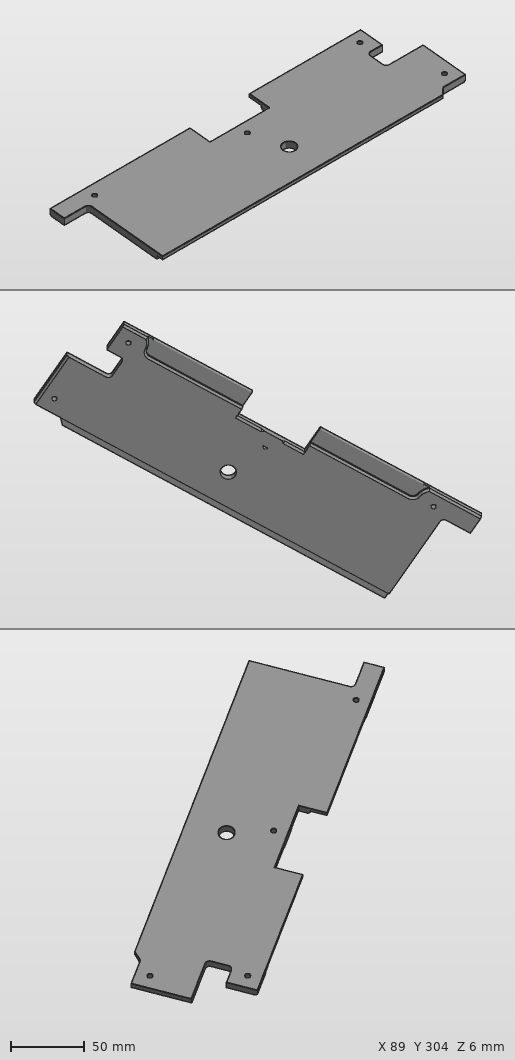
import cadquery as cq

WIDTH = 89.0
LENGTH = 304.0
THICKNESS = 6.0

BODY_RIGHT = 83.3
LEG_WIDTH = 14.5
LEG_LENGTH = 22.2
LEG_FILLET = 3.0
NOTCH_DEPTH = 20.0
NOTCH_BOTTOM = 128.0
NOTCH_TOP = 181.8
LEFT_TAB_TOP = 283.5
LEFT_TAB_WIDTH = 22.2
SLOT_RIGHT = 40.5
SLOT_FLOOR = 270.0
SLOT_FILLET = 3.0
LIP_TOP = 278.0
LIP_BEVEL = WIDTH - BODY_RIGHT

TOP_CHAMFER = 0.35
BOTTOM_CHAMFER = 1.5

LIP_THICKNESS = 3.0
LIP_UNDERSIDE = THICKNESS - LIP_THICKNESS
LEFT_LIP_ROUND = 1.0

RELIEF_WIDTH = 12.2
RELIEF_CORNER = 4.5
RELIEF_CEILING_FILLET = 1.2
BOSS_RADIUS = 13.7

SCREW_DIAMETER = 3.3
LEFT_SCREW_X = 10.0
LEG_SCREW = (LEFT_SCREW_X, 32.0)
NOTCH_SCREW = (30.0, 153.0)
LEFT_TAB_SCREW = (LEFT_SCREW_X, 274.0)
RIGHT_TAB_SCREW = (73.0, 294.0)
SCREWS = [LEG_SCREW, NOTCH_SCREW, LEFT_TAB_SCREW, RIGHT_TAB_SCREW]
LARGE_DIAMETER = 11.0
LARGE_CENTER = (60.0, 164.2)


def block(x_range, y_range, z_range):
    """Box spanning the three given (low, high) ranges."""
    lows, highs = zip(x_range, y_range, z_range)
    sizes = [high - low for low, high in zip(lows, highs)]
    return cq.Workplane("XY").box(*sizes, centered=False).translate(lows)


def holes(centers, diameter):
    """Cutter for through holes."""
    return cq.Workplane("XY").pushPoints(centers).circle(diameter / 2).extrude(THICKNESS)


def make_plate():
    """Full-thickness plate with its outline, rounded inner corners and holes."""
    outline = [
        (0, 0),
        (LEG_WIDTH, 0),
        (LEG_WIDTH, LEG_LENGTH),
        (WIDTH, LEG_LENGTH),
        (WIDTH, LIP_TOP),
        (BODY_RIGHT, LIP_TOP + LIP_BEVEL),
        (BODY_RIGHT, LENGTH),
        (SLOT_RIGHT, LENGTH),
        (SLOT_RIGHT, SLOT_FLOOR),
        (LEFT_TAB_WIDTH, SLOT_FLOOR),
        (LEFT_TAB_WIDTH, LEFT_TAB_TOP),
        (0, LEFT_TAB_TOP),
        (0, NOTCH_TOP),
        (NOTCH_DEPTH, NOTCH_TOP),
        (NOTCH_DEPTH, NOTCH_BOTTOM),
        (0, NOTCH_BOTTOM),
    ]
    inner_corners = [
        (LEG_WIDTH, LEG_LENGTH, LEG_FILLET),
        (LEFT_TAB_WIDTH, SLOT_FLOOR, SLOT_FILLET),
        (SLOT_RIGHT, SLOT_FLOOR, SLOT_FILLET),
    ]
    plate = cq.Workplane("XY").polyline(outline).close().extrude(THICKNESS)
    for x, y, radius in inner_corners:
        corner = cq.selectors.NearestToPointSelector((x, y, THICKNESS / 2))
        plate = plate.edges(corner).fillet(radius)
    plate = plate.cut(holes(SCREWS, SCREW_DIAMETER))
    return plate.cut(holes([LARGE_CENTER], LARGE_DIAMETER))


def chamfer_edges(plate):
    """Small chamfer all around the top, larger one below the left, notch and far (+Y) sides."""
    notch_side = cq.selectors.NearestToPointSelector((NOTCH_DEPTH, (NOTCH_BOTTOM + NOTCH_TOP) / 2, 0))
    plate = plate.faces(">Z").edges().chamfer(TOP_CHAMFER)
    plate = plate.faces("<Z").edges("<X or >Y").chamfer(BOTTOM_CHAMFER)
    return plate.edges(notch_side).chamfer(BOTTOM_CHAMFER)


def notch_boss():
    """Foot that interrupts the bottom chamfer of the notch beside its screw hole."""
    foot = (
        cq.Workplane("XY").center(*NOTCH_SCREW)
        .circle(BOSS_RADIUS - BOTTOM_CHAMFER)
        .workplane(offset=BOTTOM_CHAMFER).circle(BOSS_RADIUS)
        .loft(ruled=True)
    )
    return foot.intersect(
        block((NOTCH_DEPTH, NOTCH_SCREW[0]), (NOTCH_BOTTOM, NOTCH_TOP), (0, BOTTOM_CHAMFER))
    )


def left_relief():
    """Cutter below the left edge: flared at the bottom, rounded where walls meet the ceiling."""
    overrun = 3.0
    low, high = LEG_SCREW[1], LEFT_TAB_SCREW[1]
    relief = block((-overrun, RELIEF_WIDTH), (low, high), (0, LIP_UNDERSIDE))
    relief = relief.cut(
        cq.Workplane("XY").pushPoints([LEG_SCREW, LEFT_TAB_SCREW]).circle(BOSS_RADIUS).extrude(LIP_UNDERSIDE)
    )
    relief = relief.edges("|Z and >X").fillet(RELIEF_CORNER)
    flare = relief.faces("<Z").wires().toPending().offset2D(BOTTOM_CHAMFER)
    flare = flare.extrude(BOTTOM_CHAMFER, taper=45)
    return relief.faces(">Z").edges().fillet(RELIEF_CEILING_FILLET).union(flare)


def left_lip_round():
    """Cutter that rounds the lower edge of the left lip between the two bosses."""
    span = (LEG_SCREW[1] + BOSS_RADIUS, LEFT_TAB_SCREW[1] - BOSS_RADIUS)
    top = LIP_UNDERSIDE + LEFT_LIP_ROUND
    corner = block((0, LEFT_LIP_ROUND), span, (LIP_UNDERSIDE, top))
    rod = (
        cq.Workplane("XZ", origin=(0, span[1], 0))
        .center(LEFT_LIP_ROUND, top)
        .circle(LEFT_LIP_ROUND)
        .extrude(span[1] - span[0])
    )
    return corner.cut(rod)


def right_step():
    """Cutter below the right lip."""
    return block((BODY_RIGHT, WIDTH), (0, LENGTH), (0, LIP_UNDERSIDE))


plate = chamfer_edges(make_plate())
plate = plate.union(notch_boss())
result = plate.cut(right_step()).cut(left_relief()).cut(left_lip_round())